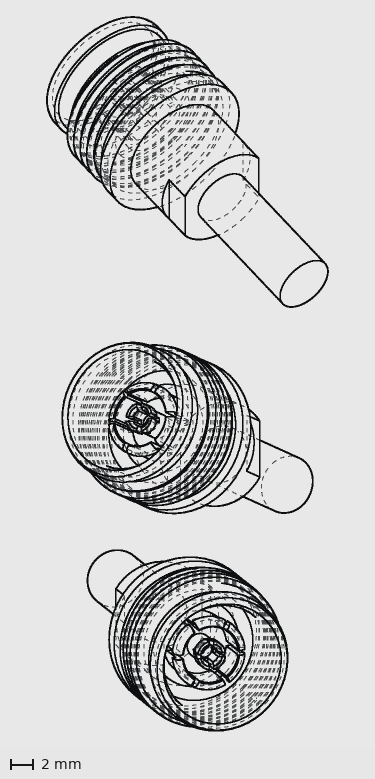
import cadquery as cq
import math

overall_length = 31.2

rim_radius = 6.25
rim_round = 1.0
rim_round_length = 0.58
rim_end = 1.45
groove_radius = 5.8
groove_end = 3.3
thread_root_radius = 6.45
thread_crest_radius = 7.0
relief_start = 8.7
flange_radius = 7.0
flange_start = 9.65
flange_end = 11.13
barrel_radius = 4.75
barrel_end = 18.48
cable_tube_radius = 2.6

flat_start = 16.0
flat_half_spacing = 4.0

thread_pitch = 1.0
thread_root_half_width = 0.33
thread_crest_half_width = 0.02
thread_embed = 0.1
thread_top_crest = 5.25

mouth_radius = 5.5
mouth_cone_end = 0.87
throat_radius = 5.15
bore_radius = 5.1
bore_radius_start = 1.3
bore_floor_cone_start = 7.0
bore_floor = 7.65
bore_floor_radius = 4.0

insulator_face = 6.75

contact_tip = 3.25
contact_lip_length = 1.0
contact_lip_radius = 3.3
contact_lip_round = 0.5
contact_tube_radius = 3.0
contact_inner_radius = 2.55
contact_mouth_radius = 2.65
contact_mouth_length = 0.12
contact_slot_count = 6
contact_slot_width = 0.45

pin_tip = 3.1
pin_head_length = 1.0
pin_head_radius = 1.3
pin_shank_radius = 1.1
pin_hole_radius = 0.72
pin_hole_depth = 2.2
pin_hole_point = 0.4
pin_mouth_chamfer = 0.3
pin_slot_count = 4
pin_slot_width = 0.42
pin_slot_depth = 1.8


def revolve_about_x(profile):
    """Full turn about the X axis of a closed profile drawn as (axial, radial) in XY."""
    return profile.close().revolve(360, (0, 0, 0), (1, 0, 0))


def cylinder_x(start, end, radius):
    return cq.Workplane("YZ", origin=(start, 0, 0)).circle(radius).extrude(end - start)


def make_front_rim():
    edge_drop = rim_round - math.sqrt(rim_round**2 - rim_round_length**2)
    profile = (
        cq.Workplane("XY")
        .lineTo(0, rim_radius - edge_drop)
        .radiusArc((rim_round_length, rim_radius), rim_round)
        .lineTo(rim_end, rim_radius)
        .lineTo(rim_end, groove_radius)
        .lineTo(groove_end, groove_radius)
        .lineTo(groove_end, 0)
    )
    return revolve_about_x(profile)


def make_threaded_section():
    """Helical ridge on a root cylinder, trimmed to the cones where the thread runs out."""
    ridge_base = thread_root_radius - thread_embed
    ridge_rise = thread_crest_radius - thread_root_radius
    flank_slope = (thread_root_half_width - thread_crest_half_width) / ridge_rise
    base_half_width = thread_root_half_width + flank_slope * thread_embed

    turns_before = math.ceil((thread_top_crest - groove_end) / thread_pitch) + 1
    turns_after = math.ceil((relief_start - thread_top_crest) / thread_pitch) + 1
    helix_start = thread_top_crest - turns_before * thread_pitch
    helix_length = (turns_before + turns_after) * thread_pitch

    helix = cq.Wire.makeHelix(thread_pitch, helix_length, ridge_base)
    ridge = (
        cq.Workplane("XZ")
        .moveTo(ridge_base, -base_half_width)
        .lineTo(thread_crest_radius, -thread_crest_half_width)
        .lineTo(thread_crest_radius, thread_crest_half_width)
        .lineTo(ridge_base, base_half_width)
        .close()
        .sweep(cq.Workplane(obj=helix), isFrenet=True)
        .rotate((0, 0, 0), (0, 1, 0), 90)
        .rotate((0, 0, 0), (1, 0, 0), 180)
        .translate((helix_start, 0, 0))
    )
    core_start = helix_start - 2 * thread_pitch
    core_end = helix_start + helix_length + 2 * thread_pitch
    core = cylinder_x(core_start, core_end, thread_root_radius)

    clear_radius = thread_crest_radius + thread_embed
    envelope = revolve_about_x(
        cq.Workplane("XY")
        .moveTo(groove_end, 0)
        .lineTo(groove_end, groove_radius)
        .lineTo(groove_end + clear_radius - groove_radius, clear_radius)
        .lineTo(relief_start - clear_radius + rim_radius, clear_radius)
        .lineTo(relief_start, rim_radius)
        .lineTo(relief_start, 0)
    )
    return core.union(ridge).intersect(envelope)


def make_rear_body():
    profile = (
        cq.Workplane("XY")
        .moveTo(relief_start, 0)
        .lineTo(relief_start, rim_radius)
        .lineTo(flange_start, rim_radius)
        .lineTo(flange_start, flange_radius)
        .lineTo(flange_end, flange_radius)
        .lineTo(flange_end, barrel_radius)
        .lineTo(barrel_end, barrel_radius)
        .lineTo(barrel_end, cable_tube_radius)
        .lineTo(overall_length, cable_tube_radius)
        .lineTo(overall_length, 0)
    )
    return revolve_about_x(profile)


def make_wrench_flat_cut(side):
    length = barrel_end - flat_start
    depth = barrel_radius - flat_half_spacing
    slab = cq.Workplane("XY").box(length, depth, 2 * barrel_radius)
    return slab.translate((flat_start + length / 2, side * (flat_half_spacing + depth / 2), 0))


def make_socket():
    profile = (
        cq.Workplane("XY")
        .lineTo(0, mouth_radius)
        .lineTo(mouth_cone_end, throat_radius)
        .lineTo(bore_radius_start, bore_radius)
        .lineTo(bore_floor_cone_start, bore_radius)
        .lineTo(bore_floor, bore_floor_radius)
        .lineTo(bore_floor, 0)
    )
    return revolve_about_x(profile)


def make_slots(count, width, start, end, reach):
    """Radial slots, evenly spaced, the first one pointing along +Y."""
    slots = cq.Workplane("XY")
    for index in range(count):
        slot = cq.Workplane("XY").box(end - start, reach, width)
        slot = slot.translate(((start + end) / 2, reach / 2, 0))
        slots = slots.add(slot.rotate((0, 0, 0), (1, 0, 0), index * 360 / count))
    return slots.combine()


def make_outer_contact():
    """Finger contact; its core beyond the insulator face is solid."""
    lip = cylinder_x(contact_tip, contact_tip + contact_lip_length, contact_lip_radius)
    lip = lip.faces("<X").edges().fillet(contact_lip_round)
    tube = cylinder_x(contact_tip + contact_lip_length, bore_floor, contact_tube_radius)
    hole = revolve_about_x(
        cq.Workplane("XY")
        .moveTo(contact_tip, 0)
        .lineTo(contact_tip, contact_mouth_radius)
        .lineTo(contact_tip + contact_mouth_length, contact_inner_radius)
        .lineTo(insulator_face, contact_inner_radius)
        .lineTo(insulator_face, 0)
    )
    slots = make_slots(
        contact_slot_count, contact_slot_width, contact_tip, insulator_face, 2 * contact_lip_radius
    )
    return lip.union(tube).cut(hole).cut(slots)


def make_centre_contact():
    head = cylinder_x(pin_tip, pin_tip + pin_head_length, pin_head_radius)
    shank = cylinder_x(pin_tip + pin_head_length, insulator_face, pin_shank_radius)
    hole_end = pin_tip + pin_hole_depth
    hole = revolve_about_x(
        cq.Workplane("XY")
        .moveTo(pin_tip, 0)
        .lineTo(pin_tip, pin_hole_radius + pin_mouth_chamfer)
        .lineTo(pin_tip + pin_mouth_chamfer, pin_hole_radius)
        .lineTo(hole_end, pin_hole_radius)
        .lineTo(hole_end + pin_hole_point, 0)
    )
    slots = make_slots(
        pin_slot_count, pin_slot_width, pin_tip, pin_tip + pin_slot_depth, 2 * pin_head_radius
    )
    return head.union(shank).cut(hole).cut(slots)


result = make_front_rim().union(make_threaded_section()).union(make_rear_body())
for side in (-1, 1):
    result = result.cut(make_wrench_flat_cut(side))
result = result.cut(make_socket())
result = result.union(make_outer_contact()).union(make_centre_contact())